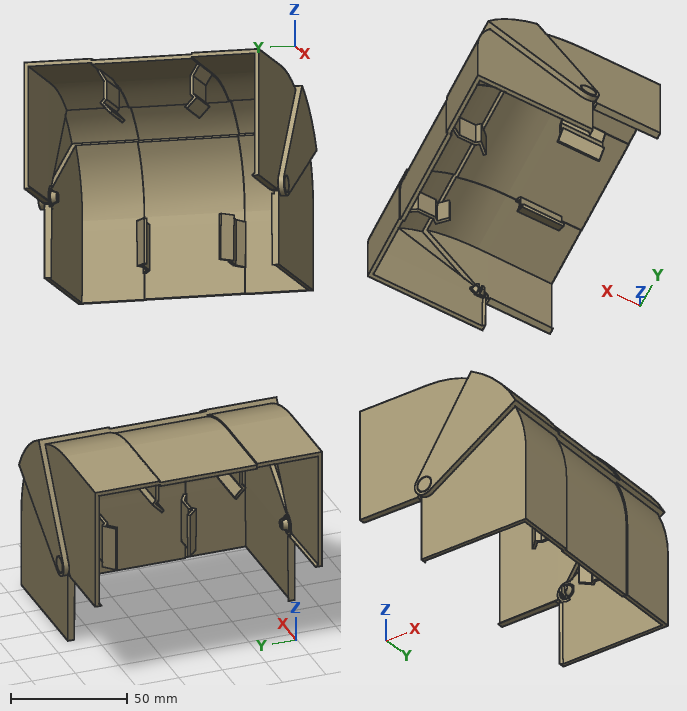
import cadquery as cq
import math


reach = 36.0
outer_radius = 52.1
wall = 2.2
half_width = 52.3
skirt = 3.4
panel_half_width = 22.4
panel_step = 0.7
hub_reach = 4.6
draft = 0.3
lip = 1.1

cover_half_width = 54.8
cover_radius = 54.4
cover_lobe_radius = 5.0
cover_half_angle = 12.5

hooded_end_angle = 45 + cover_half_angle
hooded_end_offset = 2.7
plain_end_angle = 55.0
plain_end_offset = -3.1
lobe_radius = 4.9
lobe_clearance = 0.1

hole_radius = 3.7
pin_radius = 3.5
tip_base_radius = 3.1
tip_end_radius = 2.1
tip_collar = 0.3
tip_length = 2.7
slot_width = 1.4

strip_mouth_thickness = 1.2
strip_hub_thickness = 1.4
strip_start = 24.5
strip_path = [(22.4, 49.5), (19.3, 44.5), (19.3, 36.5), (20.7, 34.9), (16.7, 30.6)]

cavity_radius = outer_radius - wall
cavity_half_width = half_width - wall
big = 3 * cover_radius


def along_y(outline, y_from, y_to):
    """Extrude an XZ outline from y_from to y_to."""
    return outline.extrude(y_from - y_to).translate((0, y_from, 0))


def stepped(outline_at, radius, half_length):
    """Extrude a radius-dependent XZ outline along Y with the middle panel sunk."""
    middle = along_y(outline_at(radius - panel_step), -panel_half_width, panel_half_width)
    left = along_y(outline_at(radius), -half_length, -panel_half_width)
    right = along_y(outline_at(radius), panel_half_width, half_length)
    return middle.union(left).union(right)


def channel_outline(radius):
    """Straight run from the mouth, then a quarter turn about the pivot."""
    diagonal = radius * math.sqrt(0.5)
    return (
        cq.Workplane("XZ")
        .moveTo(-reach, -skirt)
        .lineTo(-reach, radius)
        .lineTo(0, radius)
        .threePointArc((diagonal, diagonal), (radius, 0))
        .lineTo(radius, -skirt)
        .close()
    )


def hub_outline(radius):
    """Inside of the quarter turn and of the undrafted straight part beside it."""
    diagonal = radius * math.sqrt(0.5)
    return (
        cq.Workplane("XZ")
        .moveTo(-hub_reach, -skirt)
        .lineTo(-hub_reach, radius)
        .lineTo(0, radius)
        .threePointArc((diagonal, diagonal), (radius, 0))
        .lineTo(radius, -skirt)
        .close()
    )


def disc_outline(radius):
    return cq.Workplane("XZ").circle(radius)


def mouth_cavity():
    """Drafted inside of the straight run, narrowed by the lips at the open edges."""

    def section(grow):
        side = cavity_half_width + grow
        roof = cavity_radius + grow
        half = [
            (side - lip, -skirt),
            (side, lip - skirt),
            (side, roof),
            (panel_half_width, roof),
            (panel_half_width, roof - panel_step),
        ]
        return half + [(-y, z) for y, z in reversed(half)]

    return (
        cq.Workplane("YZ", origin=(-reach, 0, 0))
        .polyline(section(draft))
        .close()
        .workplane(offset=reach - hub_reach)
        .polyline(section(0))
        .close()
        .loft(ruled=True)
    )


def beyond_end(angle, offset):
    """Everything on the hinge side of a channel's end edge."""
    block = cq.Workplane("XY").box(big, big, big).translate((0, 0, -big / 2 + offset))
    return block.rotate((0, 0, 0), (0, 1, 0), -angle)


def shifted_path(path, distance):
    """Points of a path moved sideways by a distance, with mitred corners."""
    angles = [math.atan2(z2 - z1, y2 - y1) for (y1, z1), (y2, z2) in zip(path, path[1:])]
    arriving = [angles[0]] + angles
    leaving = angles + [angles[-1]]
    points = []
    for (y, z), before, after in zip(path, arriving, leaving):
        middle = (before + after) / 2
        mitre = distance / math.cos((after - before) / 2)
        points.append((y - mitre * math.sin(middle), z + mitre * math.cos(middle)))
    return points


def retaining_strips():
    """The pair of bent strips on the roof of a channel, tapered towards the mouth."""

    def section(thickness):
        one_side = shifted_path(strip_path, thickness / 2)
        other_side = shifted_path(strip_path, -thickness / 2)
        return one_side + other_side[::-1]

    strip = (
        cq.Workplane("YZ", origin=(-strip_start, 0, 0))
        .polyline(section(strip_mouth_thickness))
        .close()
        .workplane(offset=strip_start - hub_reach)
        .polyline(section(strip_hub_thickness))
        .close()
        .loft(ruled=True)
    )
    return strip.union(strip.mirror("XZ"))


def channel(end_angle, end_offset):
    """Channel with its mouth towards -X, cut off at the hinge along a straight edge."""
    body = stepped(channel_outline, outer_radius, half_width)
    body = body.cut(stepped(hub_outline, cavity_radius, cavity_half_width))
    body = body.cut(mouth_cavity())
    body = body.cut(beyond_end(end_angle, end_offset))
    return body.union(retaining_strips())


def pivot_cylinder(radius, half_length):
    return along_y(cq.Workplane("XZ").circle(radius), -half_length, half_length)


def hinge_cover():
    """Rounded wedge that wraps over the outside of both channels at the hinge."""

    def polar(radius, angle):
        angle = math.radians(angle)
        return (radius * math.cos(angle), radius * math.sin(angle))

    upper = 45 + cover_half_angle
    lower = 45 - cover_half_angle
    outer = 2 * cover_radius
    wedge = (
        cq.Workplane("XZ")
        .moveTo(*polar(cover_lobe_radius, upper + 90))
        .lineTo(*[a + b for a, b in zip(polar(cover_lobe_radius, upper + 90), polar(outer, upper))])
        .lineTo(*[a + b for a, b in zip(polar(cover_lobe_radius, lower - 90), polar(outer, lower))])
        .lineTo(*polar(cover_lobe_radius, lower - 90))
        .threePointArc(polar(cover_lobe_radius, 225), polar(cover_lobe_radius, upper + 90))
        .close()
    )
    cover = stepped(disc_outline, cover_radius, cover_half_width)
    cover = cover.cut(stepped(disc_outline, outer_radius, half_width))
    cover = cover.intersect(along_y(wedge, -cover_half_width, cover_half_width))
    return cover.cut(pivot_cylinder(hole_radius, cover_half_width))


def make_hooded_channel():
    """Upper channel with the hinge cover."""
    body = channel(hooded_end_angle, hooded_end_offset)
    body = body.cut(pivot_cylinder(lobe_radius + lobe_clearance, half_width))
    return body.union(hinge_cover())


def make_plain_channel():
    """Lower channel, whose ears turn under the hinge cover."""
    body = channel(plain_end_angle, plain_end_offset)
    ears = pivot_cylinder(lobe_radius, half_width).cut(pivot_cylinder(lobe_radius, cavity_half_width))
    body = body.union(ears).cut(pivot_cylinder(hole_radius, half_width))
    return body.mirror((1, 0, -1))


def make_pin(side):
    """Hinge pin flush with the cover, with a slotted, tapered tip inside the wall."""
    shank = along_y(cq.Workplane("XZ").circle(pin_radius), cavity_half_width, cover_half_width)
    tip = (
        cq.Workplane("XZ", origin=(0, cavity_half_width, 0))
        .circle(tip_base_radius)
        .extrude(tip_collar)
        .faces("<Y")
        .workplane()
        .circle(tip_base_radius)
        .workplane(offset=tip_length - tip_collar)
        .circle(tip_end_radius)
        .loft()
    )
    slot = cq.Workplane("XY").box(slot_width, tip_length, 2 * tip_base_radius)
    tip = tip.cut(slot.translate((0, cavity_half_width - tip_length / 2, 0)))
    pin = shank.union(tip)
    if side < 0:
        pin = pin.mirror("XZ")
    return pin


hooded_channel = make_hooded_channel()
plain_channel = make_plain_channel()
pins = [make_pin(side) for side in (-1, 1)]

result = cq.Compound.makeCompound(
    [hooded_channel.val(), plain_channel.val(), *[pin.val() for pin in pins]]
)